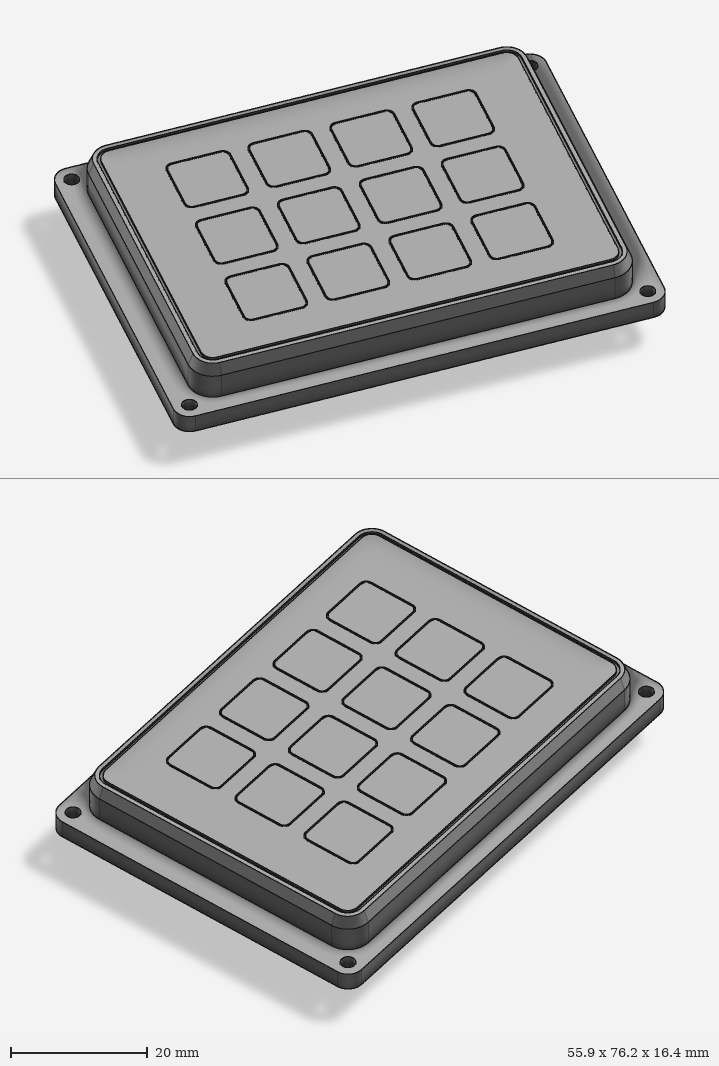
import cadquery as cq

PLATE_X = 55.85
PLATE_Y = 76.2
PLATE_T = 3.05
PLATE_CORNER_R = 2.5
MOUNT_HOLE_D = 2.3

HOUSING_X = 50.5
HOUSING_Y = 68.7
HOUSING_H = 6.1
HOUSING_CORNER_R = 3.8
BEVEL_INSET = 0.8
BEVEL_H = 1.9

RIM_W = 0.7
RIM_GROOVE_W = 0.5
GROOVE_DEPTH = 0.4

KEY_COLUMNS = 3
KEY_ROWS = 4
KEY_PITCH = 12.7
KEY_SIZE = 9.5
KEY_CORNER_R = 1.0
KEY_GAP = 0.2

PIN_COUNT = 7
PIN_PITCH = 2.5
PIN_SIZE = 0.6
PIN_LENGTH = 7.25
PIN_ROW_Y = 29.9

TOP_Z = PLATE_T + HOUSING_H


def rounded_block(size_x, size_y, height, corner_r, base_z):
    """Upright block centred on the Z axis with rounded vertical edges."""
    block = cq.Workplane("XY").workplane(offset=base_z).rect(size_x, size_y).extrude(height)
    return block.edges("|Z").fillet(corner_r)


def groove_ring(inner_x, inner_y, inner_r, width):
    """Rectangular ring reaching down from the top face, used to cut a groove."""
    floor_z = TOP_Z - GROOVE_DEPTH
    outer = rounded_block(inner_x + 2 * width, inner_y + 2 * width, GROOVE_DEPTH, inner_r + width, floor_z)
    inner = rounded_block(inner_x, inner_y, GROOVE_DEPTH, inner_r, floor_z)
    return outer.cut(inner)


def make_plate():
    """Plate with a mounting hole on the centre of each rounded corner."""
    plate = rounded_block(PLATE_X, PLATE_Y, PLATE_T, PLATE_CORNER_R, 0)
    hole_span_x = PLATE_X - 2 * PLATE_CORNER_R
    hole_span_y = PLATE_Y - 2 * PLATE_CORNER_R
    hole_frame = plate.faces(">Z").workplane().rect(hole_span_x, hole_span_y, forConstruction=True)
    return hole_frame.vertices().hole(MOUNT_HOLE_D)


def make_housing():
    """Housing block with its top edge bevelled taller than it is wide."""
    housing = rounded_block(HOUSING_X, HOUSING_Y, HOUSING_H, HOUSING_CORNER_R, PLATE_T)
    return housing.faces(">Z").edges().chamfer(BEVEL_H, BEVEL_INSET)


def make_rim_groove():
    """Groove around the key panel, parallel to the housing edge."""
    panel_inset = BEVEL_INSET + RIM_W + RIM_GROOVE_W
    panel_x = HOUSING_X - 2 * panel_inset
    panel_y = HOUSING_Y - 2 * panel_inset
    return groove_ring(panel_x, panel_y, HOUSING_CORNER_R - panel_inset, RIM_GROOVE_W)


def make_key_grooves():
    """Outline grooves of the whole key grid, centred on the housing."""
    outline = groove_ring(KEY_SIZE, KEY_SIZE, KEY_CORNER_R, KEY_GAP).val()
    grid = cq.Workplane("XY").rarray(KEY_PITCH, KEY_PITCH, KEY_COLUMNS, KEY_ROWS)
    return grid.eachpoint(lambda place: outline.moved(place))


def make_pins():
    """Connector pins hanging from the underside of the plate."""
    row = cq.Workplane("XY").center(0, PIN_ROW_Y).rarray(PIN_PITCH, 0.8, PIN_COUNT, 1)
    return row.rect(PIN_SIZE, PIN_SIZE).extrude(-PIN_LENGTH)


housing = make_housing().cut(make_rim_groove()).cut(make_key_grooves())
result = make_plate().union(housing).union(make_pins())